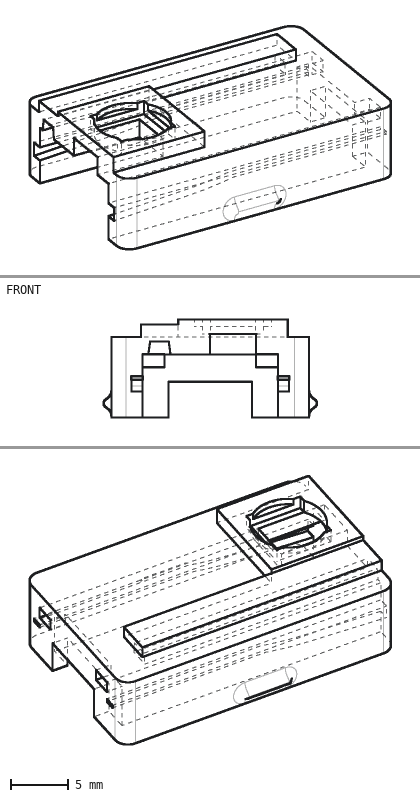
import cadquery as cq

length = 27.5
width = 17.22
body_height = 7.0
corner_radius = 1.3
front = -length / 2
back = length / 2

cavity_width = 11.77
ceiling = 5.5
back_wall = 1.5

gate_width = 7.25
gate_height = 3.1
window_sill = 4.4
window_inner_x = 4.0

groove_outer_x = 6.88
groove_roof = 3.58
groove_floor_front = 2.28
groove_floor_break = 2.75
groove_floor_back = 3.3
groove_break_y = -5.95
groove_crest_y = -1.65

strip_left = -6.05
strip_right = -2.8
strip_end_y = 10.28
strip_height = 1.1
strip_channel_base = 1.92
strip_channel_top = 1.62
strip_channel_depth = 1.13
strip_channel_end_margin = 0.63

pad_right = 6.76
pad_end_y = -4.55
pad_height = 1.55
pad_top = body_height + pad_height
hole_x = (strip_right + pad_right) / 2
hole_y = -9.0
disc_radius = 3.35
disc_depth = 0.6
seat_width = 5.34
seat_length = 5.42
seat_depth = 1.3
seat_floor = pad_top - seat_depth
hole_channel_width = 4.05
hole_channel_end_y = -7.12

bump_reach = 0.7
bump_half_width = 1.15
bump_straight = 4.05
bump_y = -0.58
bump_z = 1.25
bump_flank_reach = 0.38
bump_flank_half_width = 0.4


def box(x0, x1, y0, y1, z0, z1):
    """Box between two values on each axis."""
    return cq.Workplane("XY").box(x1 - x0, y1 - y0, z1 - z0, centered=False).translate((x0, y0, z0))


def shell():
    """Rounded block with the strip and the pad on top."""
    block = cq.Workplane("XY").box(width, length, body_height, centered=(True, True, False))
    block = block.edges("|Z").fillet(corner_radius)
    strip = box(strip_left, strip_right, front, strip_end_y, body_height, body_height + strip_height)
    pad = box(strip_right, pad_right, front, pad_end_y, body_height, pad_top)
    return block.union(strip).union(pad)


def cavity():
    """Main hollow, with the gate and the two windows through the back wall."""
    half = cavity_width / 2
    hollow = box(-half, half, front, back - back_wall, 0, ceiling)
    gate = box(-gate_width / 2, gate_width / 2, front, back, 0, gate_height)
    window = box(window_inner_x, half, front, back, window_sill, ceiling)
    return hollow.union(gate).union(window).union(window.mirror("YZ"))


def side_groove():
    """Groove beside the cavity at +X; its floor ramps up from the front and curves to a level stretch."""
    return (
        cq.Workplane("YZ", origin=(cavity_width / 2, 0, 0))
        .moveTo(front, groove_floor_front)
        .lineTo(groove_break_y, groove_floor_break)
        .tangentArcPoint((groove_crest_y, groove_floor_back), relative=False)
        .lineTo(back, groove_floor_back)
        .lineTo(back, groove_roof)
        .lineTo(front, groove_roof)
        .close()
        .extrude(groove_outer_x - cavity_width / 2)
    )


def strip_channel():
    """Tapered channel in the ceiling below the raised strip."""
    centre_x = (strip_left + strip_right) / 2
    run = strip_end_y - strip_channel_end_margin - front
    return (
        cq.Workplane("XZ", origin=(centre_x, front, ceiling))
        .moveTo(-strip_channel_base / 2, 0)
        .lineTo(-strip_channel_top / 2, strip_channel_depth)
        .lineTo(strip_channel_top / 2, strip_channel_depth)
        .lineTo(strip_channel_base / 2, 0)
        .close()
        .extrude(-run)
    )


def pad_opening():
    """Shallow disc, square seat and the channel that leads from below the seat to the front end."""
    seat_front = hole_y - seat_length / 2
    disc_centre = cq.Workplane("XY", origin=(hole_x, hole_y, pad_top))
    shallow_disc = disc_centre.circle(disc_radius).extrude(-disc_depth)
    seat = box(
        hole_x - seat_width / 2, hole_x + seat_width / 2,
        seat_front, seat_front + seat_length, seat_floor, pad_top,
    )
    channel_left = hole_x - hole_channel_width / 2
    channel_right = hole_x + hole_channel_width / 2
    channel = box(channel_left, channel_right, front, hole_channel_end_y, ceiling, seat_floor)
    front_segment = disc_centre.circle(disc_radius).extrude(-seat_depth).intersect(
        box(channel_left, channel_right, front, seat_front, seat_floor, pad_top)
    )
    return shallow_disc.union(seat).union(channel).union(front_segment)


def bump_half_profile():
    """Half section of the +X bump: X runs outward from the wall and Y across the bump, up from its axis.

    One smooth curve leaves flush with the wall, turns into a flank and ends in a round nose.
    """
    return (
        cq.Workplane("XY")
        .moveTo(0, 0)
        .lineTo(0, bump_half_width)
        .spline(
            [(bump_flank_reach, bump_flank_half_width), (bump_reach, 0)],
            tangents=[(0, -1), (0, -1)],
            includeCurrent=True,
        )
        .close()
    )


def snap_bump():
    """Bump on the +X wall: a straight ridge along Y with revolved round ends."""
    end = bump_half_profile().revolve(360, (0, 0, 0), (1, 0, 0))
    upper = bump_half_profile().extrude(bump_straight).rotate((0, 0, 0), (1, 0, 0), 90)
    ridge = upper.union(upper.mirror("XY")).translate((0, bump_straight / 2, 0))
    bump = ridge
    for side in (-1, 1):
        bump = bump.union(end.translate((0, side * bump_straight / 2, 0)))
    return bump.translate((width / 2, bump_y, bump_z))


result = shell()
for cutter in (cavity(), strip_channel(), pad_opening(), side_groove(), side_groove().mirror("YZ")):
    result = result.cut(cutter)
for bump in (snap_bump(), snap_bump().mirror("YZ")):
    result = result.union(bump)